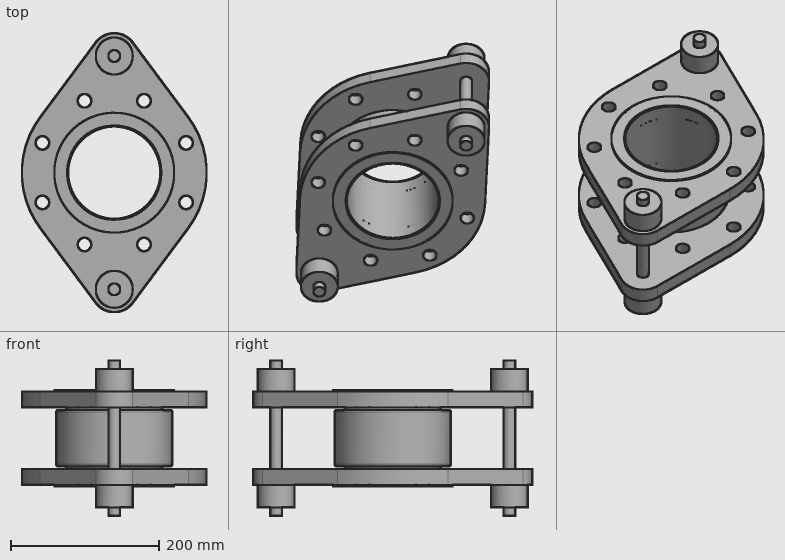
import cadquery as cq
import math

plate_outer = 63.0
plate_thickness = 21.5
plate_inner = plate_outer - plate_thickness
plate_radius = 125.0
rod_offset = 157.5
ear_radius = 31.0

bolt_count = 8
bolt_circle_diameter = 210.0
bolt_hole_diameter = 18.0

bore_radius = 62.2
recess_radius = 63.7
recess_depth = 1.0
seal_radius = 81.0
seal_height = 65.0
neck_radius = 64.0
body_radius = 78.5
body_half_height = 38.0
edge_fillet = 3.0

rod_radius = 8.0
rod_length = 210.0
bushing_radius = 25.0
bushing_height = 30.5


def mirrored_pair(upper):
    """The given upper shape together with its mirror image below mid-plane."""
    return upper.union(upper.mirror("XY"))


def make_plate():
    """Lens-shaped plate: side arcs and ear arcs joined by common tangents."""
    rise = (plate_radius - ear_radius) / rod_offset
    run = math.sqrt(1 - rise**2)
    side_x = plate_radius * run
    side_y = plate_radius * rise
    ear_x = ear_radius * run
    ear_y = rod_offset + ear_radius * rise
    tip_y = rod_offset + ear_radius
    plate = (
        cq.Workplane("XY", origin=(0, 0, plate_inner))
        .moveTo(side_x, -side_y)
        .threePointArc((plate_radius, 0), (side_x, side_y))
        .lineTo(ear_x, ear_y)
        .threePointArc((0, tip_y), (-ear_x, ear_y))
        .lineTo(-side_x, side_y)
        .threePointArc((-plate_radius, 0), (-side_x, -side_y))
        .lineTo(-ear_x, -ear_y)
        .threePointArc((0, -tip_y), (ear_x, -ear_y))
        .close()
        .extrude(plate_thickness)
    )
    half_pitch = 180.0 / bolt_count
    bolt_holes = (
        cq.Workplane("XY", origin=(0, 0, plate_inner))
        .polarArray(bolt_circle_diameter / 2, half_pitch, 360, bolt_count)
        .circle(bolt_hole_diameter / 2)
        .extrude(plate_thickness)
    )
    return plate.cut(bolt_holes)


def make_bellows():
    """Solid bellows: rounded body, necks flared where they meet it, raised sealing faces."""
    body = (
        cq.Workplane("XY", origin=(0, 0, -body_half_height))
        .circle(body_radius)
        .extrude(2 * body_half_height)
        .edges("%CIRCLE")
        .fillet(edge_fillet)
    )
    neck = (
        cq.Workplane("XY", origin=(0, 0, -plate_outer))
        .circle(neck_radius)
        .extrude(2 * plate_outer)
    )
    neck_root = cq.selectors.BoxSelector(
        (-body_radius, -body_radius, -plate_inner),
        (body_radius, body_radius, plate_inner),
        boundingbox=True,
    )
    smallest_circle = cq.selectors.RadiusNthSelector(0)
    flared = body.union(neck).edges("%CIRCLE").edges(neck_root).edges(smallest_circle).fillet(edge_fillet)
    seal = (
        cq.Workplane("XY", origin=(0, 0, plate_outer))
        .circle(seal_radius)
        .extrude(seal_height - plate_outer)
    )
    return flared.union(mirrored_pair(seal))


def make_bore():
    """Through bore with a shallow, slightly wider recess at both sealing faces."""
    bore = (
        cq.Workplane("XY", origin=(0, 0, -seal_height))
        .circle(bore_radius)
        .extrude(2 * seal_height)
    )
    recess = (
        cq.Workplane("XY", origin=(0, 0, seal_height - recess_depth))
        .circle(recess_radius)
        .extrude(recess_depth)
    )
    return bore.union(mirrored_pair(recess))


def make_tie_rod(y):
    """Rod through both plates with a bushing on the outside of each."""
    rod = (
        cq.Workplane("XY", origin=(0, y, -rod_length / 2))
        .circle(rod_radius)
        .extrude(rod_length)
    )
    bushing = (
        cq.Workplane("XY", origin=(0, y, plate_outer))
        .circle(bushing_radius)
        .extrude(bushing_height)
    )
    return rod.union(mirrored_pair(bushing))


result = mirrored_pair(make_plate()).union(make_bellows())
result = result.cut(make_bore())
for rod_y in (-rod_offset, rod_offset):
    result = result.union(make_tie_rod(rod_y))